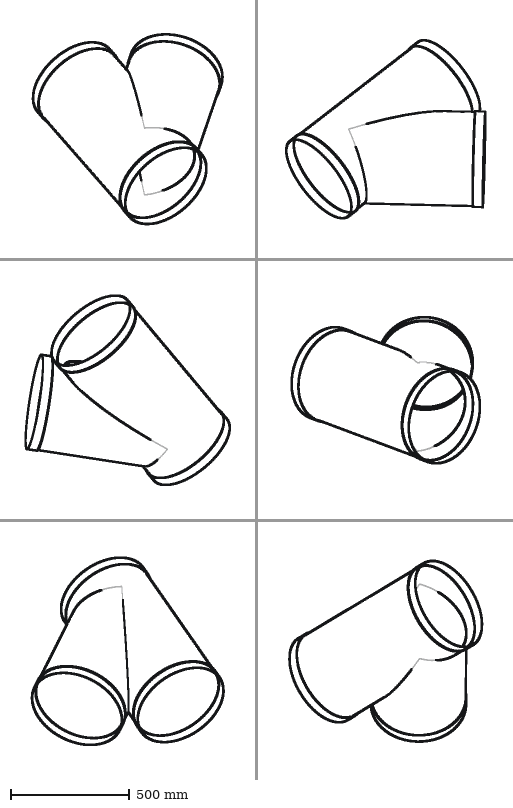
import cadquery as cq
import math

main_length = 746.0
overall_width = 751.5
collar_diameter = 406.0
pipe_diameter = 400.0
bore_diameter = 394.0
collar_length = 43.5
branch_angle = math.radians(45)
branch_offset = 201.0

wall = (pipe_diameter - bore_diameter) / 2
socket_depth = collar_length - wall

collar_radius = collar_diameter / 2
rim_reach = collar_radius * math.cos(branch_angle)
branch_length = (overall_width - collar_radius - rim_reach) / math.sin(branch_angle)

main_direction = cq.Vector(1, 0, 0)
main_start = main_direction * (-main_length / 2)
main_end = main_direction * (main_length / 2)
branch_direction = cq.Vector(-math.cos(branch_angle), math.sin(branch_angle), 0)
branch_start = cq.Vector(branch_offset, 0, 0)
branch_end = branch_start + branch_direction * branch_length

open_ends = [
    (main_start, main_direction),
    (main_end, -main_direction),
    (branch_end, -branch_direction),
]


def cylinder(diameter, start, direction, length):
    return cq.Workplane(cq.Solid.makeCylinder(diameter / 2, length, start, direction))


def branched_cylinder(diameter):
    """Main and branch cylinders of one diameter, joined where their axes cross."""
    main = cylinder(diameter, main_start, main_direction, main_length)
    branch = cylinder(diameter, branch_start, branch_direction, branch_length)
    return main.union(branch)


result = branched_cylinder(pipe_diameter)

for end, inward in open_ends:
    result = result.union(cylinder(collar_diameter, end, inward, collar_length))

result = result.cut(branched_cylinder(bore_diameter))

for end, inward in open_ends:
    result = result.cut(cylinder(pipe_diameter, end, inward, socket_depth))